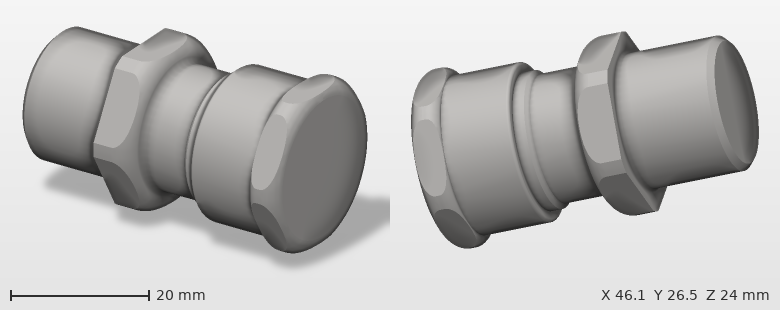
import cadquery as cq
import math

LENGTH = 46.1
ACROSS_FLATS = 24.0
CORNER_RADIUS = 26.5 / 2

SPIGOT_RADIUS = 20.0 / 2
SPIGOT_CHAMFER = 0.9
HEX_START = 15.0
SPIGOT_FILLET = 0.45
HEX_ROUND_START = 18.0
HEX_ROUND = 3.0
NECK_RADIUS = 19.15 / 2
NECK_FILLET = 1.0
COLLAR_RADIUS = 20.5 / 2
COLLAR_START = 29.05
COLLAR_CHAMFER = COLLAR_RADIUS - NECK_RADIUS

NUT_START = 30.8
SLEEVE_RADIUS = 23.65 / 2
SLEEVE_FILLET = 0.45
NUT_HEX_START = 41.3
NUT_LAND_START = 43.1
NUT_LAND_END = 43.7
NUT_FRONT_ROUND = NUT_LAND_START - NUT_HEX_START
NUT_BACK_ROUND = LENGTH - NUT_LAND_END


def revolve_about_x(profile):
    """Turn a closed (x, radius) profile about the X axis."""
    return profile.close().revolve(360, (0, 0, 0), (1, 0, 0))


def cylinder(start, end, radius):
    return cq.Workplane("YZ", origin=(start, 0, 0)).circle(radius).extrude(end - start)


def hexagon(start, end):
    """Hexagonal prism along X with flats facing +Z and -Z."""
    across_corners = ACROSS_FLATS / math.cos(math.pi / 6)
    return cq.Workplane("YZ", origin=(start, 0, 0)).polygon(6, across_corners).extrude(end - start)


def on_arc(center_x, center_r, radius, degrees):
    """Point (x, radius) on an arc in the profile plane."""
    angle = math.radians(degrees)
    return (center_x + radius * math.cos(angle), center_r + radius * math.sin(angle))


def make_hex_section():
    """Hexagon whose rounded rear corners flow through a concave fillet into the neck."""
    round_center_r = CORNER_RADIUS - HEX_ROUND
    fillet_center_r = NECK_RADIUS + NECK_FILLET
    rise = fillet_center_r - round_center_r
    tangent_angle = math.degrees(math.asin(rise / (HEX_ROUND + NECK_FILLET)))
    run = (HEX_ROUND + NECK_FILLET) * math.cos(math.radians(tangent_angle))
    neck_start = HEX_ROUND_START + run
    tangent_point = on_arc(HEX_ROUND_START, round_center_r, HEX_ROUND, tangent_angle)
    round_middle = on_arc(HEX_ROUND_START, round_center_r, HEX_ROUND, (90 + tangent_angle) / 2)
    fillet_middle_angle = (180 + tangent_angle + 270) / 2
    fillet_middle = on_arc(neck_start, fillet_center_r, NECK_FILLET, fillet_middle_angle)
    envelope = revolve_about_x(
        cq.Workplane("XY")
        .moveTo(HEX_START, 0)
        .lineTo(HEX_START, CORNER_RADIUS)
        .lineTo(HEX_ROUND_START, CORNER_RADIUS)
        .threePointArc(round_middle, tangent_point)
        .threePointArc(fillet_middle, (neck_start, NECK_RADIUS))
        .lineTo(neck_start, 0)
    )
    return hexagon(HEX_START, neck_start).intersect(envelope)


def make_spigot():
    """Chamfered spigot that flares into the hexagon face."""
    flare_start = HEX_START - SPIGOT_FILLET
    flare_radius = SPIGOT_RADIUS + SPIGOT_FILLET
    flare_middle = on_arc(flare_start, flare_radius, SPIGOT_FILLET, -45)
    return revolve_about_x(
        cq.Workplane("XY")
        .lineTo(0, SPIGOT_RADIUS - SPIGOT_CHAMFER)
        .lineTo(SPIGOT_CHAMFER, SPIGOT_RADIUS)
        .lineTo(flare_start, SPIGOT_RADIUS)
        .threePointArc(flare_middle, (HEX_START, flare_radius))
        .lineTo(HEX_START, 0)
    )


def make_fitting_body():
    neck = cylinder(HEX_START, COLLAR_START, NECK_RADIUS)
    collar = revolve_about_x(
        cq.Workplane("XY")
        .moveTo(COLLAR_START - COLLAR_CHAMFER, 0)
        .lineTo(COLLAR_START - COLLAR_CHAMFER, NECK_RADIUS)
        .lineTo(COLLAR_START, COLLAR_RADIUS)
        .lineTo(NUT_HEX_START, COLLAR_RADIUS)
        .lineTo(NUT_HEX_START, 0)
    )
    return make_spigot().union(make_hex_section()).union(neck).union(collar)


def make_nut():
    """Sleeve and rounded hexagon, with a recess for the collar as deep as the sleeve."""
    sleeve = cylinder(NUT_START, NUT_HEX_START, SLEEVE_RADIUS)
    sleeve = sleeve.faces("<X").edges().fillet(SLEEVE_FILLET)
    front_center_r = CORNER_RADIUS - NUT_FRONT_ROUND
    back_center_r = CORNER_RADIUS - NUT_BACK_ROUND
    envelope = revolve_about_x(
        cq.Workplane("XY")
        .moveTo(NUT_HEX_START, 0)
        .lineTo(NUT_HEX_START, front_center_r)
        .threePointArc(
            on_arc(NUT_LAND_START, front_center_r, NUT_FRONT_ROUND, 135),
            (NUT_LAND_START, CORNER_RADIUS),
        )
        .lineTo(NUT_LAND_END, CORNER_RADIUS)
        .threePointArc(
            on_arc(NUT_LAND_END, back_center_r, NUT_BACK_ROUND, 45),
            (LENGTH, back_center_r),
        )
        .lineTo(LENGTH, 0)
    )
    nut_hex = hexagon(NUT_HEX_START, LENGTH).intersect(envelope)
    recess = cylinder(NUT_START, NUT_HEX_START, COLLAR_RADIUS)
    return sleeve.union(nut_hex).cut(recess)


fitting_body = make_fitting_body()
nut = make_nut()
result = cq.Compound.makeCompound([fitting_body.val(), nut.val()])